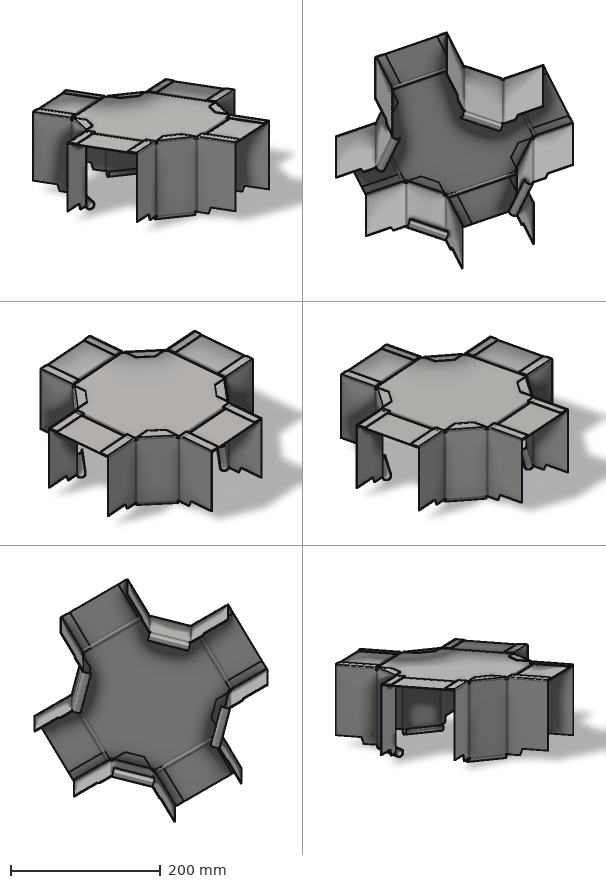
import cadquery as cq
import math

LENGTH = 300.2
HEIGHT = 113.0
SHEET = 1.2
REACH = LENGTH / 2

ARM_HALF_WIDTH = 52.2
CORNER_REACH = 92.5
TOP_BEND = 2.5
WALL_BEND = 1.2
FLANGE_WIDTH = 14.7
FLANGE_START = 93.7
FLANGE_CLIP_LENGTH = 1.5
FLANGE_CLIP_WIDTH = 4.5
TAB_REACH = 70.5
TAB_HALF_LENGTH = 26.5
RELIEF_DEPTH = 4.5

HEM_RADIUS = 6.3
HEM_HALF_LENGTH = 28.0
LIP_TOP = 9.0
LIP_ROUND = 2.5
HEM_RELIEF_RADIUS = 1.8
HEM_RELIEF_DEPTH = 0.5
WALL_BOTTOM = 15.3
TONGUE_TOP_REACH = 113.8
TONGUE_END_REACH = 110.5

BEAD_START = 92.8
BEAD_HALF_WIDTH = 2.85
BEAD_DEPTH = 2.0
BEAD_SHOULDER = 1.5

FLANGE_INNER = ARM_HALF_WIDTH - FLANGE_WIDTH
DIAGONAL = (ARM_HALF_WIDTH + CORNER_REACH) / math.sqrt(2)
COVER_TOP = HEIGHT - SHEET
COVER_HALF_WIDTH = ARM_HALF_WIDTH - TOP_BEND
RELIEF_BOTTOM = HEIGHT - RELIEF_DEPTH
CLEAR = 15.0
TURN_ANGLE = 90
QUARTER_TURNS = range(4)
DIAGONAL_ANGLE = TURN_ANGLE / 2
VERTICAL = ((0, 0, 0), (0, 0, 1))


def prism_between(points, bottom, top):
    """Upright prism over a closed outline."""
    return cq.Workplane("XY").workplane(offset=bottom).polyline(points).close().extrude(top - bottom)


def rotate_point(x, y, turns):
    """Point turned about the centre by quarter turns."""
    for _ in range(turns):
        x, y = -y, x
    return (x, y)


def cross_prism(half_width, diagonal, reach, bottom, top):
    """Prism over a cross whose four inner corners are bridged diagonally."""
    bridge = diagonal * math.sqrt(2) - half_width
    quarter = [(reach, half_width), (bridge, half_width), (half_width, bridge), (half_width, reach)]
    points = []
    for turn in QUARTER_TURNS:
        for x, y in quarter:
            points.append(rotate_point(x, y, turn))
    return prism_between(points, bottom, top)


def bent_prism(inset, bottom):
    """Cross prism with its wall bends and top bends rounded, inset from the outer sheet face."""
    half_width = ARM_HALF_WIDTH - inset
    diagonal = DIAGONAL - inset
    reach = REACH + CLEAR
    prism = cross_prism(half_width, diagonal, reach, bottom, HEIGHT - inset)
    wall_bends = cq.selectors.BoxSelector((-REACH, -REACH, bottom), (REACH, REACH, HEIGHT))
    prism = prism.edges("|Z").edges(wall_bends).fillet(WALL_BEND + inset)
    side_edges = cq.selectors.BoxSelector((-REACH, -REACH, bottom), (REACH, REACH, HEIGHT + CLEAR))
    return prism.faces(">Z").edges(side_edges).fillet(TOP_BEND - inset)


def mirrored(shape):
    """Copy of a shape reflected in the diagonal plane x = y."""
    return shape.mirror("YZ").rotate(*VERTICAL, -TURN_ANGLE)


def arm_flange_zone():
    """Space kept for an arm flange and the bend beside it."""
    return prism_between(
        [
            (FLANGE_START, FLANGE_INNER),
            (REACH - FLANGE_CLIP_LENGTH, FLANGE_INNER),
            (REACH, FLANGE_INNER + FLANGE_CLIP_WIDTH),
            (REACH, ARM_HALF_WIDTH),
            (FLANGE_START, ARM_HALF_WIDTH),
        ],
        RELIEF_BOTTOM,
        HEIGHT,
    )


def tab_zone():
    """Space kept for the tab on the diagonal wall."""
    tab = prism_between(
        [
            (TAB_REACH, ARM_HALF_WIDTH),
            (CORNER_REACH, ARM_HALF_WIDTH),
            (ARM_HALF_WIDTH, CORNER_REACH),
            (ARM_HALF_WIDTH, TAB_REACH),
        ],
        RELIEF_BOTTOM,
        HEIGHT,
    )
    limit = cq.Workplane("XY").box(2 * REACH, 2 * TAB_HALF_LENGTH, 2 * HEIGHT + CLEAR)
    return tab.intersect(limit.rotate(*VERTICAL, DIAGONAL_ANGLE))


def below_wall_zone():
    """Space below the raised lower edge of an arm wall, outside the tongue."""
    return (
        cq.Workplane("XZ")
        .polyline(
            [
                (TONGUE_END_REACH, HEM_RADIUS),
                (TONGUE_TOP_REACH, WALL_BOTTOM),
                (REACH + CLEAR, WALL_BOTTOM),
                (REACH + CLEAR, HEM_RADIUS),
            ]
        )
        .close()
        .extrude(-(ARM_HALF_WIDTH + CLEAR))
    )


def hem():
    """Rolled hem that carries on from the lower edge of the diagonal wall."""
    lip_face = DIAGONAL - 2 * HEM_RADIUS
    middle = DIAGONAL - HEM_RADIUS
    profile = (
        cq.Workplane("XZ", origin=(0, HEM_HALF_LENGTH, 0))
        .moveTo(DIAGONAL, HEM_RADIUS)
        .threePointArc((middle, 0), (lip_face, HEM_RADIUS))
        .lineTo(lip_face, LIP_TOP)
        .lineTo(lip_face + SHEET, LIP_TOP)
        .lineTo(lip_face + SHEET, HEM_RADIUS)
        .threePointArc((middle, SHEET), (DIAGONAL - SHEET, HEM_RADIUS))
        .close()
    )
    rolled = profile.extrude(2 * HEM_HALF_LENGTH)
    lip_corners = cq.selectors.BoxSelector(
        (lip_face - SHEET, -HEM_HALF_LENGTH - SHEET, LIP_TOP - SHEET),
        (lip_face + 2 * SHEET, HEM_HALF_LENGTH + SHEET, LIP_TOP + SHEET),
    )
    rolled = rolled.edges("|X").edges(lip_corners).fillet(LIP_ROUND)
    return rolled.rotate(*VERTICAL, DIAGONAL_ANGLE)


def hem_relief():
    """Space around the lower ends of both wall bends, parting the hem from the arm walls."""
    bends = [(CORNER_REACH, ARM_HALF_WIDTH), (ARM_HALF_WIDTH, CORNER_REACH)]
    return (
        cq.Workplane("XY")
        .workplane(offset=HEM_RADIUS - HEM_RELIEF_DEPTH)
        .pushPoints(bends)
        .circle(HEM_RELIEF_RADIUS)
        .extrude(2 * HEM_RELIEF_DEPTH)
    )


def corner_piece():
    """Corner in the +X +Y quadrant: two arm walls, diagonal wall, flanges, tab and hem."""
    shell = bent_prism(0, HEM_RADIUS).cut(bent_prism(SHEET, HEM_RADIUS - CLEAR))
    walls = cq.Workplane("XY").box(REACH, REACH, RELIEF_BOTTOM, centered=False)
    walls = walls.cut(below_wall_zone()).cut(mirrored(below_wall_zone()))
    kept = walls.union(arm_flange_zone()).union(mirrored(arm_flange_zone())).union(tab_zone())
    piece = shell.intersect(kept).union(hem())
    return piece.cut(hem_relief())


def bead(outset):
    """Solid under one face of the +X arm, filling the bead; outset is the depth below the cover top."""
    total = (BEAD_HALF_WIDTH**2 + BEAD_DEPTH**2) / (2 * BEAD_DEPTH)
    shoulder = BEAD_SHOULDER - outset
    level = COVER_TOP - outset
    slope = math.asin(BEAD_HALF_WIDTH / total)
    middle = BEAD_START + BEAD_HALF_WIDTH
    end = middle + BEAD_HALF_WIDTH
    half_slope = slope / 2
    shoulder_out = shoulder * math.sin(slope)
    shoulder_drop = shoulder * (1 - math.cos(slope))
    half_out = shoulder * math.sin(half_slope)
    half_drop = shoulder * (1 - math.cos(half_slope))
    lowest = level - BEAD_DEPTH
    return (
        cq.Workplane("XZ", origin=(0, COVER_HALF_WIDTH, 0))
        .moveTo(BEAD_START, level)
        .threePointArc(
            (BEAD_START + half_out, level - half_drop),
            (BEAD_START + shoulder_out, level - shoulder_drop),
        )
        .threePointArc((middle, lowest), (end - shoulder_out, level - shoulder_drop))
        .threePointArc((end - half_out, level - half_drop), (end, level))
        .close()
        .extrude(2 * COVER_HALF_WIDTH)
    )


def cover_plate():
    """Flat cross under the flanges, with a bead pressed into each arm."""
    plate = cross_prism(COVER_HALF_WIDTH, DIAGONAL - TOP_BEND, REACH, COVER_TOP - SHEET, COVER_TOP)
    for turn in QUARTER_TURNS:
        plate = plate.union(bead(SHEET).rotate(*VERTICAL, TURN_ANGLE * turn))
    for turn in QUARTER_TURNS:
        plate = plate.cut(bead(0).rotate(*VERTICAL, TURN_ANGLE * turn))
    return plate


cover = cover_plate()
corner = corner_piece()
corners = [corner.rotate(*VERTICAL, TURN_ANGLE * turn) for turn in QUARTER_TURNS]

result = cq.Compound.makeCompound([cover.val(), *[piece.val() for piece in corners]])